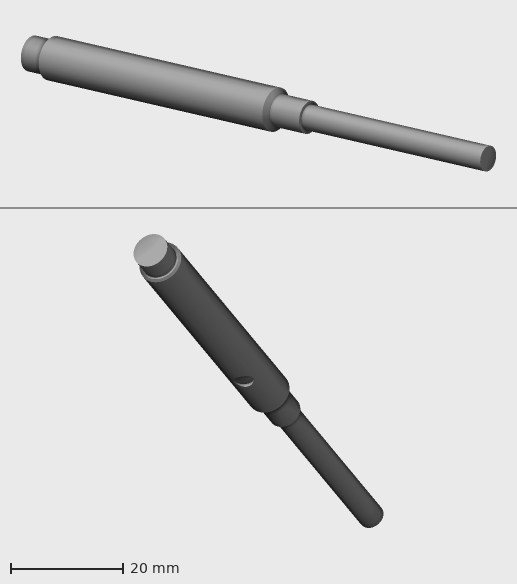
import cadquery as cq

total_length = 101.9
body_start = 4.2
body_end = 55.4
collar_end = 62.0

nose_diameter = 6.5
body_diameter = 8.0
collar_diameter = 6.0
cable_diameter = 4.7

front_bevel = 0.4
rear_bevel_length = 0.9
rear_bevel_depth = (body_diameter - collar_diameter) / 2

hole_diameter = 3.7
hole_x = 42.9
hole_depth = 0.6


def section(start, end, diameter):
    """Solid cylinder along X between two stations."""
    return cq.Workplane("YZ", origin=(start, 0, 0)).circle(diameter / 2).extrude(end - start)


def body():
    """Main barrel with a bevel on each end."""
    barrel = section(body_start, body_end, body_diameter)
    barrel = barrel.faces("<X").chamfer(front_bevel)
    return barrel.faces(">X").chamfer(rear_bevel_length, rear_bevel_depth)


def underside_hole():
    """Cutter for the blind hole that enters the barrel from below."""
    bottom = cq.Workplane("XY", origin=(hole_x, 0, -body_diameter / 2))
    return bottom.circle(hole_diameter / 2).extrude(hole_depth)


nose = section(0, body_start, nose_diameter)
collar = section(body_end, collar_end, collar_diameter)
cable = section(collar_end, total_length, cable_diameter)

sensor = nose.union(body()).union(collar).union(cable).cut(underside_hole())
result = sensor.translate((-total_length / 2, 0, 0))